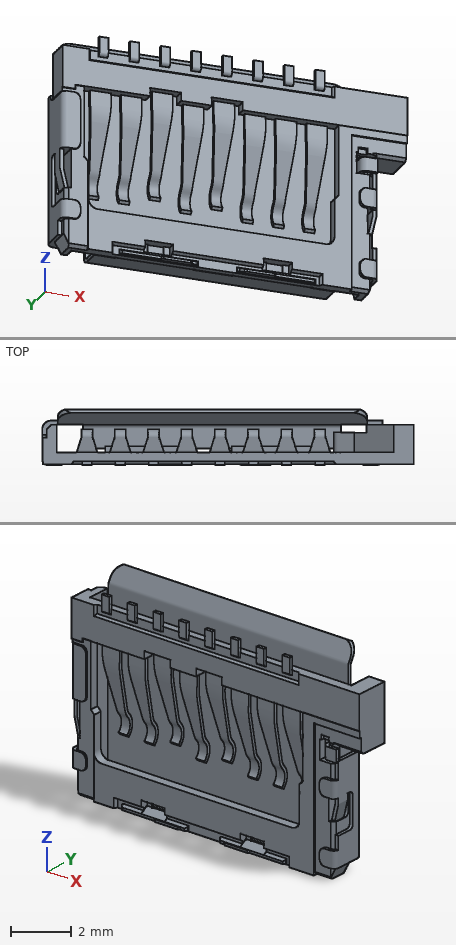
import cadquery as cq
import math


def block(x0, x1, y0, y1, z0, z1):
    """Axis-aligned box between the given limits."""
    return cq.Workplane("XY").box(x1 - x0, y1 - y0, z1 - z0, centered=False).translate((x0, y0, z0))


def front_prism(points, y0, y1):
    """Outline of (x, z) points extruded from y0 back to y1."""
    return cq.Workplane("XZ", origin=(0, y0, 0)).polyline(points).close().extrude(y0 - y1)


def side_prism(points, x0, x1):
    """Outline of (y, z) points extruded from x0 to x1."""
    return cq.Workplane("YZ", origin=(x0, 0, 0)).polyline(points).close().extrude(x1 - x0)


length = 12.3
body_top = 7.16
overall_height = 8.01
overall_depth = 1.85
sheet = 0.14

shell_right = 11.27
shell_back = 1.48
shell_bottom = 0.49
shell_top = 5.72
shell_side_top = 5.52
right_wall_top = 4.37
back_bend = 0.31
front_bend = 0.2
tab_reach = 0.65
tab_corner = 0.22
shell_inner_back = shell_back - sheet

front_face = 0.02
middle_face = 0.05
strip_face = 0.07
wall_back = 0.42
wall_root = wall_back - 0.12
rail_inner_left = 0.49
rail_inner_right = 10.73
body_left = sheet
body_top_left = 0.02
body_right = shell_right - sheet
strip_left = 0.95
strip_top = 5.66
strip_right = 10.33
foot_height = shell_bottom

slot_top_left = 3.5
slot_top_right = 3.03
slot_back = 0.95
slot_low = 1.66
slot_corner = 0.15
tongue_back = 0.68
tongue_front = 0.2
tongue_tip = 2.12

arm_bottom = 4.92
arm_step = 5.54
arm_face = 0.12
arm_wall = 0.66
spring_pocket_bottom = 4.23

window_bottom = 1.48
window_top = 5.8
window_left = 0.81
window_right = 9.86
window_jog = 0.15
window_jog_z = 3.15
window_corner = 0.33

contact_count = 8
first_contact = 1.49
last_contact = 9.19
contact_pitch = (last_contact - first_contact) / (contact_count - 1)
raised_contacts = (2, 4)
contact_raise = 0.3
contact_sheet = 0.12


def make_edge_bevel(x0, x1, face, low, size):
    """Wedge that bevels a lower front edge at y = face, z = low."""
    return side_prism([(face, low), (face + size, low), (face, low + size)], x0, x1)


def make_body():
    left_foot, right_foot = 0.3, 10.97
    outline = [
        (left_foot, 0), (right_foot, 0), (body_right, foot_height), (body_right, arm_bottom),
        (length, arm_bottom), (length, body_top), (body_top_left, body_top), (body_top_left, shell_side_top),
        (body_left, shell_side_top), (body_left, foot_height),
    ]
    body = front_prism(outline, front_face, wall_back)

    foot_back_low, foot_back_high = 0.84, 1.02
    rail = [
        (wall_root, 0), (foot_back_low, 0), (foot_back_high, foot_height),
        (shell_inner_back, foot_height), (shell_inner_back, shell_top), (wall_root, shell_top),
    ]
    rails = side_prism(rail, body_left, rail_inner_left)
    rails = rails.union(side_prism(rail, rail_inner_right, body_right))
    rails = rails.cut(block(rail_inner_right, body_right, 0, shell_back, arm_bottom + 0.12, shell_top))
    rails = rails.intersect(front_prism(outline, front_face, shell_back))
    body = body.union(rails)

    upper_step_y, upper_step, upper_chamfer_y = 0.9, 0.16, 1.19
    upper_wall = (
        cq.Workplane("XY", origin=(0, 0, shell_top))
        .polyline([
            (body_top_left, wall_root), (rail_inner_left, wall_root), (rail_inner_left, shell_inner_back),
            (2 * upper_step, shell_inner_back), (upper_step, upper_chamfer_y),
            (upper_step, upper_step_y), (body_top_left, upper_step_y),
        ])
        .close()
        .extrude(body_top - shell_top)
    )
    body = body.union(upper_wall)
    step_filler = block(body_top_left, rail_inner_left, front_face, upper_step_y, shell_side_top, shell_top)
    body = body.union(step_filler)

    arm_inner = length - arm_wall
    floor_front, floor_low, floor_high = 1.07, arm_bottom + 0.18, arm_bottom + 1.35
    body = body.union(block(arm_inner, length, wall_root, shell_inner_back, arm_bottom, body_top))
    floor = [
        (strip_right, arm_bottom), (arm_inner, arm_bottom), (arm_inner, floor_high), (strip_right, floor_low),
    ]
    arm_floor = front_prism(floor, wall_root, shell_inner_back)
    arm_floor = arm_floor.cut(block(strip_right, rail_inner_right, floor_front, shell_back, 0, body_top))
    body = body.union(arm_floor)

    body = body.cut(block(rail_inner_left, length, 0, middle_face, 0, window_top))
    body = body.cut(block(0, rail_inner_left, 0, strip_face, 0, strip_top))
    body = body.cut(block(rail_inner_left, strip_left, 0, strip_face, 0, window_top))
    body = body.cut(block(strip_right, length, 0, arm_face, 0, arm_step))

    bevel = 0.11
    body = body.cut(make_edge_bevel(0, strip_left, strip_face, 0, bevel))
    body = body.cut(make_edge_bevel(strip_right, body_right, arm_face, 0, bevel))
    body = body.cut(make_edge_bevel(body_right, length, arm_face, arm_bottom, bevel))

    corner_bevel = 0.14
    left_edge = (body_left, 1, strip_face, slot_top_left)
    right_edge = (body_right, -1, arm_face, spring_pocket_bottom)
    for edge_x, inward, face, top in (left_edge, right_edge):
        corner = [(edge_x, face), (edge_x + inward * corner_bevel, face), (edge_x, face + corner_bevel)]
        body = body.cut(cq.Workplane("XY").polyline(corner).close().extrude(top))
    return body


def make_window():
    low_left = window_left + window_jog
    low_right = window_right - window_jog
    jog_top = window_jog_z + window_jog
    window = front_prism([
        (low_left, window_bottom), (low_right, window_bottom), (low_right, window_jog_z),
        (window_right, jog_top), (window_right, window_top), (window_left, window_top),
        (window_left, jog_top), (low_left, window_jog_z),
    ], 0, wall_back)
    lower_corners = cq.selectors.BoxSelector(
        (0, -0.12, window_bottom - 0.12), (length, wall_back + 0.12, window_bottom + 0.12))
    window = window.edges("|Y").edges(lower_corners).fillet(window_corner)
    half = 0.55
    for index in raised_contacts:
        middle = first_contact + index * contact_pitch
        window = window.union(block(middle - half, middle + half, 0, wall_back,
                                    window_top - 0.12, window_top + contact_raise))
    return window


def make_bevelled_recess(left, right, reach, edge_z, depth, bevel):
    """Recess cut into the front face, reaching equally far above and below edge_z, with sloped sides."""
    return (
        cq.Workplane("XZ", origin=((left + right) / 2, front_face, edge_z))
        .rect(right - left, 2 * reach)
        .workplane(offset=-(depth - front_face))
        .rect(right - left - 2 * bevel, 2 * (reach - bevel))
        .loft()
    )


def make_contact(middle, lift):
    """Spring contact: flat root, beam sloping back, curled tip."""
    wide, narrow = 0.74, 0.37
    root_y = 0.36
    root_top, bend_top, bend_end, beam_end, tip = 6.03, 5.3, 4.75, 3.22, 2.26
    lean = math.radians(16)
    hook_start_drop, hook_start_back, tip_back = 0.22, 0.12, 0.09
    bend_y = root_y + (bend_top - bend_end) * math.tan(lean / 2)
    beam_y = bend_y + (bend_end - beam_end) * math.tan(lean)
    path = (
        cq.Workplane("YZ")
        .moveTo(root_y, root_top)
        .lineTo(root_y, bend_top)
        .tangentArcPoint((bend_y, bend_end), relative=False)
        .lineTo(beam_y, beam_end)
        .tangentArcPoint((hook_start_back, -hook_start_drop))
        .tangentArcPoint((beam_y + tip_back, tip), relative=False)
    )
    strip = cq.Workplane("XY", origin=(0, root_y, root_top)).rect(wide, contact_sheet).sweep(path)
    taper = front_prism([
        (-wide / 2, root_top), (-wide / 2, bend_top), (-narrow / 2, beam_end), (-narrow / 2, tip - 0.12),
        (narrow / 2, tip - 0.12), (narrow / 2, beam_end), (wide / 2, bend_top), (wide / 2, root_top),
    ], 0, shell_back)
    return strip.intersect(taper).translate((middle, 0, lift))


def make_tail(middle):
    """Solder tail bent up out of the body below its top edge."""
    half, low, high, depth, bend = 0.16, 6.97, 7.65, 0.3, 0.12
    tail = block(middle - half, middle + half, 0, depth, low, low + sheet)
    tail = tail.union(block(middle - half, middle + half, 0, sheet, low, high))
    return tail.edges("|X").edges("<Y and <Z").fillet(bend)


def make_shell():
    height = shell_top - shell_bottom
    wrap = block(0, shell_right, 0, shell_back, shell_bottom, shell_top)
    wrap = wrap.edges("|Z and >Y").fillet(back_bend).edges("|Z and <Y").fillet(front_bend)
    hollow = cq.Workplane("XY").box(shell_right - 2 * sheet, shell_back - 2 * sheet, height, centered=False)
    hollow = hollow.edges("|Z and >Y").fillet(back_bend - sheet).edges("|Z and <Y").fillet(front_bend - sheet)
    shell = wrap.cut(hollow.translate((sheet, sheet, shell_bottom)))
    shell = shell.cut(block(tab_reach, shell_right - tab_reach, 0, sheet, 0, shell_top))

    shell = shell.cut(block(strip_right, shell_right, 0, shell_back, right_wall_top, shell_top))
    ear = block(strip_right, shell_right, shell_inner_back, shell_back, right_wall_top, shell_top)
    shell = shell.union(ear)

    step_back, step_corner = 1.01, 0.1
    step = block(-0.12, tab_reach, -0.12, step_back, shell_side_top, shell_top + 0.12)
    shell = shell.cut(step.edges("|X and >Y and <Z").fillet(step_corner))

    left_gaps = ((shell_bottom, 1.0), (slot_low, slot_top_left))
    right_gaps = ((1.15, slot_top_right), (3.69, right_wall_top))
    gap_depth = 0.2
    for low, high in left_gaps:
        shell = shell.cut(block(0, tab_reach, 0, gap_depth, low, high))
    for low, high in right_gaps:
        shell = shell.cut(block(shell_right - tab_reach, shell_right, 0, gap_depth, low, high))
    corner_relief = 0.38
    shell = shell.cut(block(0, sheet, 0, corner_relief, shell_bottom, left_gaps[0][1]))
    left_tips = cq.selectors.BoxSelector((tab_reach - 0.01, -0.12, 0), (tab_reach + 0.01, sheet + 0.12, shell_top))
    right_tips = cq.selectors.BoxSelector(
        (shell_right - tab_reach - 0.01, -0.12, 0), (shell_right - tab_reach + 0.01, sheet + 0.12, shell_top))
    shell = shell.edges("|Y").edges(left_tips).fillet(tab_corner)
    return shell.edges("|Y").edges(right_tips).fillet(tab_corner)


def make_side_slot(x0, x1, top):
    slot = block(x0, x1, -tongue_front, slot_back, slot_low, top)
    return slot.edges("|X and >Y").fillet(slot_corner)


def make_side_pocket(x0, x1, top):
    """Pocket in the body that the tongue springs into."""
    ledge = 0.07
    pocket = block(x0, x1, 0, slot_back - ledge, tongue_tip, top)
    return pocket.edges("|X and >Y and <Z").fillet(slot_corner)


def make_tongue(top):
    """Left-hand tongue hanging from the window top, bent inwards near its tip."""
    bend, push = 2.8, 0.16
    tip_corner, overlap = 0.09, 0.06
    root = top + overlap
    tongue = front_prism([
        (0, root), (0, bend), (push, tongue_tip), (push + sheet, tongue_tip), (sheet, bend), (sheet, root),
    ], tongue_front, tongue_back)
    return tongue.edges("<Z").edges("|X").fillet(tip_corner)


def make_lip():
    """Back plate carried above the body and bent backwards as a lip with rounded corners."""
    left, right, corner = 0.52, 10.75, 0.49
    lean, bend = math.radians(30), 0.15
    tip_back = overall_depth - sheet * math.cos(lean)
    tip_low = overall_height - sheet * math.sin(lean)
    front_knee = overall_height - (tip_back - shell_inner_back) / math.tan(lean)
    back_knee = tip_low - (overall_depth - shell_back) / math.tan(lean)
    lip = side_prism([
        (shell_inner_back, shell_top - 0.12), (shell_inner_back, front_knee), (tip_back, overall_height),
        (overall_depth, tip_low), (shell_back, back_knee), (shell_back, shell_top - 0.12),
    ], left, right)
    middle = (left + right) / 2
    knee_front = cq.selectors.NearestToPointSelector((middle, shell_inner_back, front_knee))
    knee_back = cq.selectors.NearestToPointSelector((middle, shell_back, back_knee))
    lip = lip.edges(knee_front).fillet(bend + sheet).edges(knee_back).fillet(bend)
    outline = block(left, right, 0, overall_depth + 0.12, 0, overall_height)
    return lip.intersect(outline.edges("|Y and >Z").fillet(corner))


def make_bottom_flange():
    """Shell bottom edge turned forwards under the card slot."""
    left, right, front, low = 1.35, 9.89, 0.54, 0.04
    outer_bend = 0.27
    flange = block(left, right, front, shell_back, low, shell_bottom + 0.12)
    flange = flange.edges("|X and >Y and <Z").fillet(outer_bend)
    inner = block(left, right, front, shell_inner_back, low + sheet, shell_bottom + 0.12)
    flange = flange.cut(inner.edges("|X and >Y and <Z").fillet(outer_bend - sheet))
    return flange


def make_hook_notch(hook):
    """Notch in the body above a hook, open to the card slot in its middle."""
    depth, low, top, hole_inset = 0.36, 0.12, 0.63, 0.21
    notch = block(hook[0], hook[1], 0, depth, low, top)
    return notch.union(block(hook[0] + hole_inset, hook[1] - hole_inset, 0, wall_back, low, top))


def make_solder_tongue(span, hook, bump):
    """Forward continuation of the bottom flange, rising towards the body, with a bump and a hook."""
    low, edge_top, tongue_top, hook_top = 0.04, 0.14, 0.22, 0.33
    front, tongue_rear, hook_rear, back, corner = 0.05, 0.18, 0.35, 0.62, 0.07
    tongue = side_prism([
        (front, low), (front, edge_top), (tongue_rear, tongue_top), (back, tongue_top), (back, low),
    ], span[0], span[1])
    hook_ramp = side_prism([
        (front, low), (front, edge_top), (hook_rear, hook_top), (hook_rear, low),
    ], hook[0], hook[1])
    front_outline = (
        cq.Workplane("XY")
        .polyline([
            (span[0], back), (span[0], front + corner), (span[0] + corner, front), (bump[0] - corner, front),
            (bump[0], 0), (bump[1], 0), (bump[1] + corner, front), (span[1] - corner, front),
            (span[1], front + corner), (span[1], back),
        ])
        .close()
        .extrude(hook_top)
    )
    bump_strip = block(bump[0] - corner, bump[1] + corner, 0, tongue_rear, low, edge_top)
    return tongue.union(hook_ramp).union(bump_strip).intersect(front_outline)


def make_spring_pocket():
    """Pocket in the body around the switch spring, with a small notch above it."""
    left, top = 10.53, 4.98
    notch_left, notch_right, notch_depth, notch_top = 10.59, 10.92, 0.25, 5.17
    pocket = block(left, shell_right, 0, wall_back, spring_pocket_bottom, top)
    return pocket.union(block(notch_left, notch_right, 0, notch_depth, arm_bottom, notch_top))


def make_switch_spring():
    """Small J-shaped spring at the right edge, just below the arm."""
    left, front, back, low, high, bend = 10.69, 0.07, 0.98, 4.34, 4.83, 0.22
    spring = block(left, shell_right, front, back, low, high).edges("|Z and <X and <Y").fillet(bend)
    inner = block(left + sheet, shell_right, front + sheet, back, low, high)
    return spring.cut(inner.edges("|Z and <X and <Y").fillet(bend - sheet))


def make_lock_block():
    """Rounded block with a sloped top in the lower right corner of the card slot."""
    left, back, low, high_left, high_right, corner = 9.64, 1.08, 0.49, 1.33, 1.66, 0.22
    lock = front_prism([
        (left, low), (strip_right, low), (strip_right, high_right), (left, high_left),
    ], wall_root, back)
    upper_left = cq.selectors.NearestToPointSelector((left, back / 2, high_left))
    return lock.edges("|Y").edges(upper_left).fillet(corner)


tongue_spans = ((2.09, 4.9), (6.27, 9.08))
hook_spans = ((2.98, 3.97), (7.2, 8.2))
bump_spans = ((3.62, 4.58), (6.58, 7.54))

tail_recess = make_bevelled_recess(left=0.97, right=9.72, reach=0.4, edge_z=body_top, depth=0.12, bevel=0.07)
bottom_recess = make_bevelled_recess(left=1.78, right=9.3, reach=0.4, edge_z=0, depth=0.17, bevel=0.09)
body = make_body().cut(make_window()).cut(tail_recess).cut(bottom_recess)
for hook in hook_spans:
    body = body.cut(make_hook_notch(hook))
body = body.union(make_lock_block())
pocket_depth = 0.21
body = body.cut(make_side_pocket(0, sheet + pocket_depth, slot_top_left))
body = body.cut(make_side_pocket(body_right - pocket_depth, shell_right, slot_top_right))
body = body.cut(make_spring_pocket())

shell = make_shell()
shell = shell.cut(make_side_slot(-0.12, sheet, slot_top_left))
shell = shell.cut(make_side_slot(body_right, shell_right + 0.12, slot_top_right))
shell = shell.union(make_tongue(slot_top_left))
shell = shell.union(make_tongue(slot_top_right).mirror("YZ").translate((shell_right, 0, 0)))
shell = shell.union(make_lip()).union(make_bottom_flange())
for span, hook, bump in zip(tongue_spans, hook_spans, bump_spans):
    shell = shell.union(make_solder_tongue(span, hook, bump))

result = body.union(shell).union(make_switch_spring())
for index in range(contact_count):
    middle = first_contact + index * contact_pitch
    lift = contact_raise if index in raised_contacts else 0
    result = result.union(make_contact(middle, lift)).union(make_tail(middle))